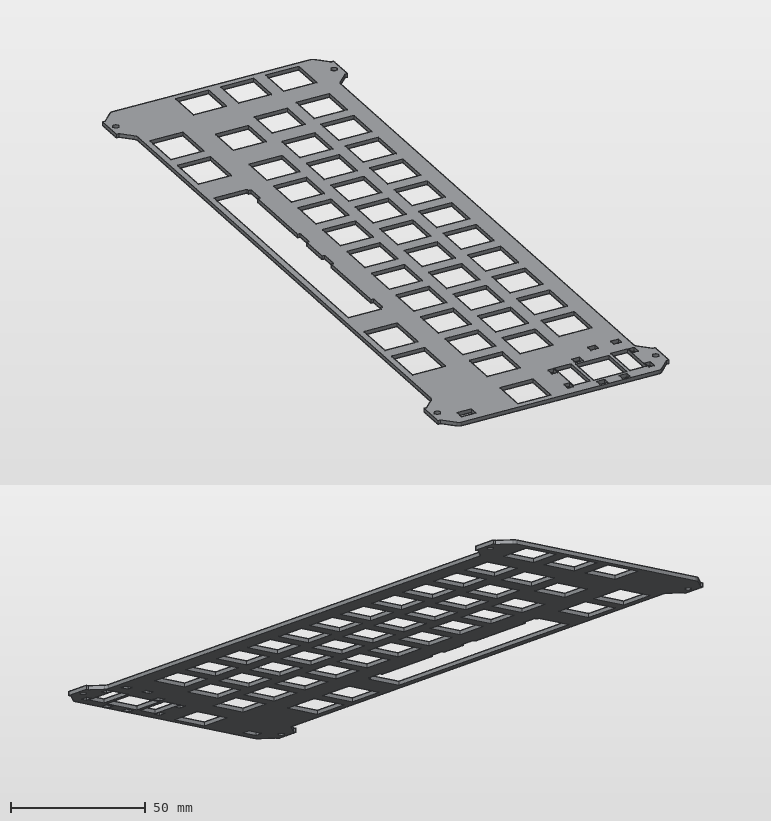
import cadquery as cq

length = 271.5
depth = 97.7
thickness = 1.6
body_depth = 85.8

tab_inner_x = 119.7
tab_outer_x = 130.5
tab_edge = 1.0
slope_radius = 2.2
screw_diameter = 2.5
screw_inset_x = 10.5
screw_inset_y = 2.7

ten_pitches = 190.5
pitch = ten_pitches / 10
ten_gaps = 50.5
key_size = (ten_pitches - ten_gaps) / 10
left_column_x = -126.2

wide_key_size = key_size + pitch / 8
bottom_row_y = -1.75 * pitch
wide_key_steps = [1.3125, 2.4375, 10.0625, 11.1875]
spacebar_step = 6.25
spacebar_length = 4.75 * pitch + key_size
notch_steps = [-2.5, -0.5, 0.5, 2.5]
notch_width = 7.0
notch_height = 1.0

tall_key_step = 13.125
tall_key_y = 1.25 * pitch
stabilizer_center_x = 123.2
stabilizer_width = 15.0
stabilizer_height = 7.0
stabilizer_offset = 12.0
clip_width = 3.3
clip_height = 2.3
clip_offset = 17.0
left_clip_x = 117.5
right_clip_x = 130.0

lamp_width = 2.58
lamp_height = 3.3
left_lamp_x = 108.9
right_lamp_x = 133.5
upper_lamp_y = 38.3
middle_lamp_y = 28.5
lower_lamp_y = 19.0
wide_lamp_width = 3.0
wide_lamp_x = 114.3
switch_width = 3.5
switch_height = 6.0
switch_x = 130.3
switch_y = -36.6


def step_x(step):
    """X of a position counted in pitches from the left column."""
    return left_column_x + step * pitch


def window(width, height, centers):
    """Rectangular cutters through the plate at the given centres."""
    return (
        cq.Workplane("XY")
        .pushPoints(centers)
        .rect(width, height)
        .extrude(thickness)
    )


def round_corners(plate, x, y):
    """Round the upright edges where a slope meets the outline at (+-x, +-y)."""
    middle = thickness / 2
    corners = [(sx * x, sy * y, middle) for sx in (-1, 1) for sy in (-1, 1)]
    edges = cq.Workplane("XY")
    for corner in corners:
        edges = edges.add(plate.edges("|Z").edges(cq.selectors.NearestToPointSelector(corner)))
    return plate.newObject(edges.vals()).fillet(slope_radius)


def make_plate():
    """Plate with four tabs, from one quarter outline mirrored twice."""
    half_length = length / 2
    shoulder_y = depth / 2 - tab_edge
    tab_drop = shoulder_y - body_depth / 2
    root_x = tab_inner_x - tab_drop
    side_y = shoulder_y - (half_length - tab_outer_x)
    quarter = [
        (half_length, side_y),
        (tab_outer_x, shoulder_y),
        (tab_outer_x, depth / 2),
        (tab_inner_x, depth / 2),
        (tab_inner_x, shoulder_y),
        (root_x, body_depth / 2),
    ]
    upper = quarter + [(-x, y) for x, y in reversed(quarter)]
    lower = [(x, -y) for x, y in reversed(upper)]
    plate = cq.Workplane("XY").polyline(upper + lower).close().extrude(thickness)
    plate = round_corners(plate, half_length, side_y)
    return round_corners(plate, root_x, body_depth / 2)


def make_screw_holes():
    x = length / 2 - screw_inset_x
    y = depth / 2 - screw_inset_y
    corners = [(sx * x, sy * y) for sx in (-1, 1) for sy in (-1, 1)]
    return cq.Workplane("XY").pushPoints(corners).circle(screw_diameter / 2).extrude(thickness)


def make_key_windows():
    upper_row = [0] + [1.25 + i for i in range(11)]
    middle_row = [0, 1.375] + [2.5 + i for i in range(10)]
    lower_row = [0, 1.625] + [3 + i for i in range(10)] + [13.25]
    rows = [(1.5, upper_row), (0.5, middle_row), (-0.5, lower_row)]
    centers = [(step_x(step), row * pitch) for row, steps in rows for step in steps]
    return window(key_size, key_size, centers)


def make_bottom_row():
    wide_keys = window(wide_key_size, key_size, [(step_x(s), bottom_row_y) for s in wide_key_steps])
    spacebar_x = step_x(spacebar_step)
    spacebar = window(spacebar_length, key_size, [(spacebar_x, bottom_row_y)])
    notch_reach = key_size / 2 + notch_height
    notch_y = bottom_row_y + notch_reach / 2
    notches = window(notch_width, notch_reach, [(spacebar_x + s * pitch, notch_y) for s in notch_steps])
    return wide_keys.union(spacebar).union(notches)


def make_tall_key():
    key = window(key_size, key_size, [(step_x(tall_key_step), tall_key_y)])
    slots = window(
        stabilizer_width,
        stabilizer_height,
        [(stabilizer_center_x, tall_key_y + side * stabilizer_offset) for side in (-1, 1)],
    )
    clips = window(
        clip_width,
        clip_height,
        [
            (x, tall_key_y + side * clip_offset)
            for x in (left_clip_x, right_clip_x)
            for side in (-1, 1)
        ],
    )
    return key.union(slots).union(clips)


def make_small_slots():
    lamp_centers = [
        (left_lamp_x, upper_lamp_y),
        (left_lamp_x, middle_lamp_y),
        (right_lamp_x, middle_lamp_y),
        (right_lamp_x, lower_lamp_y),
    ]
    lamps = window(lamp_width, lamp_height, lamp_centers)
    wide_lamp = window(wide_lamp_width, lamp_height, [(wide_lamp_x, lower_lamp_y)])
    switch = window(switch_width, switch_height, [(switch_x, switch_y)])
    return lamps.union(wide_lamp).union(switch)


result = (
    make_plate()
    .cut(make_screw_holes())
    .cut(make_key_windows())
    .cut(make_bottom_row())
    .cut(make_tall_key())
    .cut(make_small_slots())
)